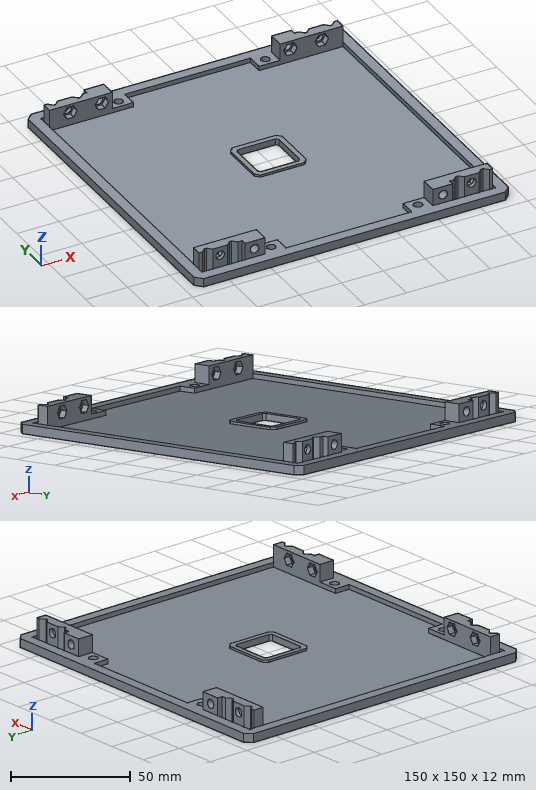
import cadquery as cq

side = 150.0
plate_height = 4.0
total_height = 12.0
corner_chamfer = 3.0
rim_width = 5.0
floor_height = 2.0
inner_half = side / 2 - rim_width

opening_side = 20.0
opening_corner_chamfer = 1.0
collar_wall = 2.4
collar_side = opening_side + 2 * collar_wall
collar_corner_chamfer = 2.0
collar_height = 1.0

pad_length = 40.0
pad_width = 7.5
block_length = 30.0
hole_diameter = 4.0
pad_hole_from_corner = (block_length + pad_length) / 2
pad_hole_from_rim = pad_width / 2

block_hole_positions = (10.0, 25.0)
block_hole_height = (plate_height + total_height) / 2
nut_corner_width = 6.3
nut_depth = 3.0

relief_length = 20.5
relief_width = 2.5
groove_positions = (4.0, 16.0)
groove_depth = 2.0
groove_bottom_width = 1.0
groove_mouth_width = groove_bottom_width + 2 * groove_depth


def box_from_corner(length, width, height):
    """Box with its lowest corner at the origin."""
    return cq.Workplane("XY").box(length, width, height, centered=False)


def make_tray():
    tray = cq.Workplane("XY").rect(side, side).extrude(plate_height)
    tray = tray.edges("|Z").chamfer(corner_chamfer)
    pocket = (
        cq.Workplane("XY")
        .workplane(offset=floor_height)
        .rect(2 * inner_half, 2 * inner_half)
        .extrude(plate_height - floor_height)
    )
    return tray.cut(pocket)


def make_collar():
    collar = cq.Workplane("XY").rect(collar_side, collar_side).extrude(floor_height + collar_height)
    return collar.edges("|Z").chamfer(collar_corner_chamfer)


def make_corner_solid():
    """Pad and block with the inner rim corner at the origin, lying along +X and +Y."""
    pad = box_from_corner(pad_length, pad_width, plate_height)
    return pad.union(box_from_corner(block_length, pad_width, total_height))


def make_corner_cutter():
    """Relief, grooves, holes and nut pockets in the same position as the corner solid."""
    cutter = box_from_corner(relief_length, relief_width, total_height)
    for x in groove_positions:
        groove = (
            cq.Workplane("XY")
            .moveTo(x - groove_mouth_width / 2, relief_width)
            .lineTo(x - groove_bottom_width / 2, relief_width + groove_depth)
            .lineTo(x + groove_bottom_width / 2, relief_width + groove_depth)
            .lineTo(x + groove_mouth_width / 2, relief_width)
            .close()
            .extrude(total_height)
        )
        cutter = cutter.union(groove)
    for x in block_hole_positions:
        hole = (
            cq.Workplane("XZ")
            .center(x, block_hole_height)
            .circle(hole_diameter / 2)
            .extrude(-pad_width)
        )
        nut_pocket = (
            cq.Workplane("XZ", origin=(0, pad_width, 0))
            .center(x, block_hole_height)
            .polygon(6, nut_corner_width)
            .extrude(nut_depth)
        )
        cutter = cutter.union(hole).union(nut_pocket)
    pad_hole = (
        cq.Workplane("XY")
        .center(pad_hole_from_corner, pad_hole_from_rim)
        .circle(hole_diameter / 2)
        .extrude(plate_height)
    )
    return cutter.union(pad_hole)


def at_all_corners(shape):
    """Four mirrored copies of a corner shape, one in each inner rim corner."""
    placed = shape.translate((-inner_half, -inner_half, 0))
    front_pair = placed.union(placed.mirror("YZ"))
    return front_pair.union(front_pair.mirror("XZ"))


opening = cq.Workplane("XY").rect(opening_side, opening_side).extrude(total_height)
opening = opening.edges("|Z").chamfer(opening_corner_chamfer)

result = make_tray().union(make_collar()).cut(opening)
result = result.union(at_all_corners(make_corner_solid()))
result = result.cut(at_all_corners(make_corner_cutter()))